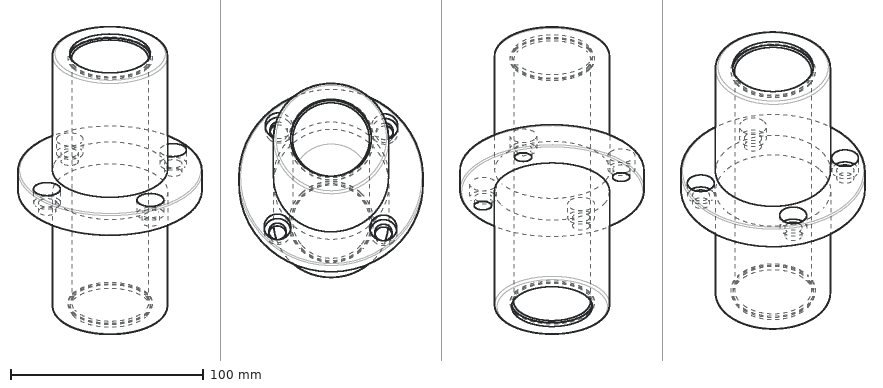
import cadquery as cq

sleeve_length = 151.0
sleeve_diameter = 60.0
bore_diameter = 40.0
sleeve_edge_radius = 1.25

lip_diameter = 42.0
lip_depth = 2.2
groove_diameter = 44.0
recess_depth = 3.0

flange_diameter = 96.0
flange_thickness = 13.0
flange_edge_radius = 0.8

hole_count = 4
hole_circle_diameter = 78.0
hole_diameter = 9.0
counterbore_diameter = 14.0
counterbore_depth = 8.0


def centred_cylinder(diameter, length):
    """Cylinder on the Z axis, centred on the origin."""
    return cq.Workplane("XY").cylinder(length, diameter / 2)


def make_sleeve():
    """Solid sleeve with rounded outer end edges."""
    return centred_cylinder(sleeve_diameter, sleeve_length).edges("%CIRCLE").fillet(sleeve_edge_radius)


def make_flange():
    """Solid flange disc with rounded rims."""
    return centred_cylinder(flange_diameter, flange_thickness).edges("%CIRCLE").fillet(flange_edge_radius)


def make_bore():
    """Stepped cutter for the bore and the seal recess at both ends, revolved about Z."""
    end_z = sleeve_length / 2
    groove_start_z = end_z - recess_depth
    groove_end_z = end_z - lip_depth
    upper_half = (
        cq.Workplane("XZ")
        .lineTo(bore_diameter / 2, 0)
        .lineTo(bore_diameter / 2, groove_start_z)
        .lineTo(groove_diameter / 2, groove_start_z)
        .lineTo(groove_diameter / 2, groove_end_z)
        .lineTo(lip_diameter / 2, groove_end_z)
        .lineTo(lip_diameter / 2, end_z)
        .lineTo(0, end_z)
        .close()
        .revolve(360, (0, 0, 0), (0, 1, 0))
    )
    return upper_half.union(upper_half.mirror("XY"))


def drill_mounting_holes(body):
    """Cut the mounting holes, counterbored from the top face of the flange."""
    return (
        body.faces(">Z")
        .workplane()
        .polarArray(hole_circle_diameter / 2, 0, 360, hole_count)
        .cboreHole(hole_diameter, counterbore_diameter, counterbore_depth)
    )


flange = drill_mounting_holes(make_flange())
result = flange.union(make_sleeve()).cut(make_bore())